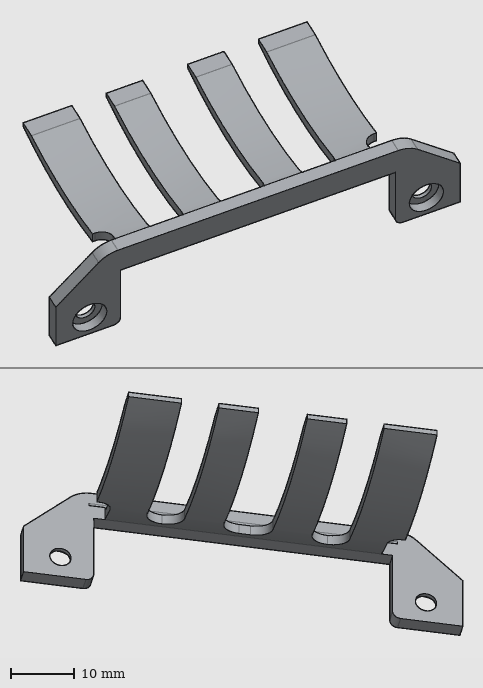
import cadquery as cq

total_depth = 34.2
plate_length = 71.0
plate_height = 17.5
plate_thickness = 2.4
plate_face_x = total_depth - plate_thickness

leg_width = 11.35
bridge_height = 5.0
shoulder_run = 8.95
shoulder_drop = 8.3
shoulder_radius = 5.0
foot_radius = 1.3
hole_diameter = 3.4
bore_depth = 0.7
counterbore_diameter = 5.95
hole_from_end = 5.95
hole_from_foot = 3.9

tip_flat_length = 3.05
tip_top_drop = 4.1
tip_bottom_drop = 5.05
valley_x = 16.0
valley_top_drop = 5.6
valley_bottom_drop = 7.5
fillet_length = 1.0
fillet_start_drop = 3.5
fillet_end_drop = 2.1

comb_width = 49.85
inner_finger_width = 6.4
centre_gap_width = 7.9
side_gap_width = 6.0
gap_root_x = 30.6
root_flat = 0.015
gap_radius = (side_gap_width - root_flat) / 2
notch_x = 25.55
notch_depth = 2.55
notch_radius = 2.1
notch_top_drop = 2.55


def make_plate():
    half = plate_length / 2
    leg_inner = half - leg_width
    bridge_z = plate_height - bridge_height
    outline = [
        (-half, 0),
        (-half, plate_height - shoulder_drop),
        (-half + shoulder_run, plate_height),
        (half - shoulder_run, plate_height),
        (half, plate_height - shoulder_drop),
        (half, 0),
        (leg_inner, 0),
        (leg_inner, bridge_z),
        (-leg_inner, bridge_z),
        (-leg_inner, 0),
    ]
    plate = (
        cq.Workplane("YZ")
        .workplane(offset=plate_face_x)
        .polyline(outline)
        .close()
        .extrude(plate_thickness)
    )
    for side in (-1, 1):
        shoulder = (total_depth, side * (half - shoulder_run), plate_height)
        foot = (total_depth, side * leg_inner, 0)
        plate = plate.edges("|X").edges(cq.NearestToPointSelector(shoulder)).fillet(shoulder_radius)
        plate = plate.edges("|X").edges(cq.NearestToPointSelector(foot)).fillet(foot_radius)

    hole_y = half - hole_from_end
    return (
        plate.faces(">X")
        .workplane(origin=(total_depth, 0, 0))
        .pushPoints([(-hole_y, hole_from_foot), (hole_y, hole_from_foot)])
        .cboreHole(hole_diameter, counterbore_diameter, plate_thickness - bore_depth)
    )


def make_finger_sheet():
    def at(x, drop):
        return (x, plate_height - drop)

    return (
        cq.Workplane("XZ")
        .moveTo(*at(0, tip_bottom_drop))
        .lineTo(*at(0, tip_top_drop))
        .lineTo(*at(tip_flat_length, tip_top_drop))
        .threePointArc(
            at(valley_x, valley_top_drop),
            at(plate_face_x - fillet_length, fillet_start_drop),
        )
        .tangentArcPoint(at(plate_face_x, fillet_end_drop), relative=False)
        .lineTo(*at(plate_face_x, bridge_height))
        .threePointArc(at(valley_x, valley_bottom_drop), at(0, tip_bottom_drop))
        .close()
        .extrude(comb_width / 2, both=True)
    )


def rounded_cutter(start_x, end_x, centre_y, width, height, radius, edges):
    return (
        cq.Workplane("XY")
        .center((start_x + end_x) / 2, centre_y)
        .rect(end_x - start_x, width)
        .extrude(height)
        .edges(edges)
        .fillet(radius)
    )


def cut_gaps(sheet):
    side_gap_y = centre_gap_width / 2 + inner_finger_width + side_gap_width / 2
    gaps = [(-side_gap_y, side_gap_width), (0, centre_gap_width), (side_gap_y, side_gap_width)]
    for gap_y, width in gaps:
        gap = rounded_cutter(0, gap_root_x, gap_y, width, plate_height, gap_radius, "|Z and >X")
        sheet = sheet.cut(gap)
    return sheet


def cut_notches(sheet):
    for side, inner_edge in ((-1, "|Z and <X and >Y"), (1, "|Z and <X and <Y")):
        notch = rounded_cutter(
            notch_x,
            plate_face_x,
            side * comb_width / 2,
            2 * notch_depth,
            plate_height - notch_top_drop,
            notch_radius,
            inner_edge,
        )
        sheet = sheet.cut(notch)
    return sheet


fingers = cut_notches(cut_gaps(make_finger_sheet()))
result = make_plate().union(fingers)